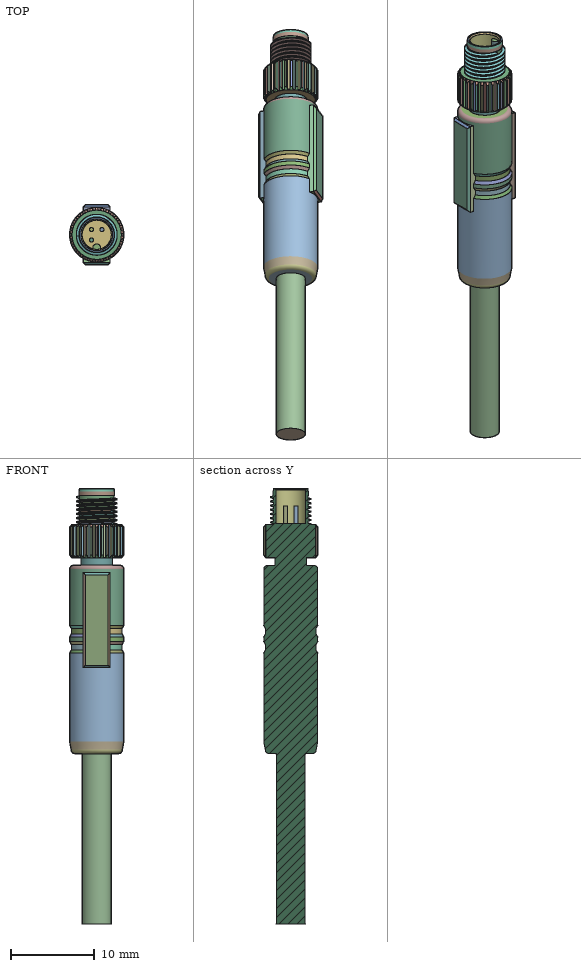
import cadquery as cq
import math

total_length = 52.2
body_bottom = 20.4
body_top = 43.0
nut_bottom = 43.9
nut_top = 47.9
thread_top = 51.35

cable_diameter = 3.5
body_diameter = 6.5
neck_diameter = 3.8
nut_diameter = body_diameter
sleeve_diameter = 4.3
thread_root_diameter = 4.2
thread_diameter = 4.9

body_top_round = 0.45
tail_taper_start = 21.85
tail_inset = 0.185
tail_round = 0.45

groove_centers = (35.105, 33.175)
groove_mouth = 1.4
groove_floor = 0.65
groove_depth = 0.2

plate_width = 3.25
plate_bottom = 30.75
plate_top = 42.1
plate_span = 7.2
plate_chamfer = 0.25

nut_chamfer = 0.3
flute_count = 30
flute_depth = 0.25
flute_mouth = 0.45
flute_floor = 0.25

thread_pitch = 0.5
thread_root_width = 0.35
thread_crest_width = 0.1
thread_overlap = 0.05
sleeve_lead_in = 0.35
sleeve_lead_in_inset = 0.05

bore_diameter = 3.5
bore_depth = 4.2
bore_chamfer = 0.15
pin_diameter = 0.48
pin_length = 2.1
pin_offset = 0.65
key_diameter = 0.95
key_offset = 1.55
key_recess = 0.5


def cylinder(diameter, bottom, top):
    return cq.Workplane("XY").workplane(offset=bottom).circle(diameter / 2).extrude(top - bottom)


def make_body():
    """Body of revolution with a tapered tail and rounded ends."""
    radius = body_diameter / 2
    tail_radius = radius - tail_inset
    blend = math.sqrt(0.5)
    tail_round_z = body_bottom + tail_round
    top_round_z = body_top - body_top_round
    tail_mid = (tail_radius - tail_round * (1 - blend), tail_round_z - tail_round * blend)
    top_mid = (radius - body_top_round * (1 - blend), top_round_z + body_top_round * blend)
    return (
        cq.Workplane("XZ")
        .moveTo(0, body_bottom)
        .lineTo(tail_radius - tail_round, body_bottom)
        .threePointArc(tail_mid, (tail_radius, tail_round_z))
        .lineTo(radius, tail_taper_start)
        .lineTo(radius, top_round_z)
        .threePointArc(top_mid, (radius - body_top_round, body_top))
        .lineTo(0, body_top)
        .close()
        .revolve(360, (0, 0, 0), (0, 1, 0))
    )


def make_groove(center):
    """Ring-shaped cutter with sloping walls, centred at the given height."""
    radius = body_diameter / 2
    floor_radius = radius - groove_depth
    clear_radius = radius + groove_depth
    mouth = groove_mouth / 2
    floor = groove_floor / 2
    return (
        cq.Workplane("XZ")
        .polyline([
            (clear_radius, center - mouth),
            (radius, center - mouth),
            (floor_radius, center - floor),
            (floor_radius, center + floor),
            (radius, center + mouth),
            (clear_radius, center + mouth),
        ])
        .close()
        .revolve(360, (0, 0, 0), (0, 1, 0))
    )


def make_plates():
    """One block through the body whose two outer faces form the name plates."""
    height = plate_top - plate_bottom
    return (
        cq.Workplane("XY")
        .box(plate_width, plate_span, height)
        .faces("<Y or >Y")
        .edges()
        .chamfer(plate_chamfer)
        .translate((0, 0, plate_bottom + height / 2))
    )


def make_nut():
    """Chamfered nut with flat-bottomed flutes; a ridge points along each Y direction."""
    radius = nut_diameter / 2
    flute = (
        cq.Workplane("XY")
        .workplane(offset=nut_bottom)
        .polyline([
            (radius - flute_depth, -flute_floor / 2),
            (radius, -flute_mouth / 2),
            (radius + flute_depth, -flute_mouth / 2),
            (radius + flute_depth, flute_mouth / 2),
            (radius, flute_mouth / 2),
            (radius - flute_depth, flute_floor / 2),
        ])
        .close()
        .extrude(nut_top - nut_bottom)
    )
    flutes = cq.Workplane("XY")
    for index in range(flute_count):
        flutes.add(flute.rotate((0, 0, 0), (0, 0, 1), index * 360 / flute_count))
    blank = cylinder(nut_diameter, nut_bottom, nut_top).edges().chamfer(nut_chamfer)
    return blank.cut(cq.Workplane(obj=cq.Compound.makeCompound(flutes.vals())))


def make_thread():
    """Right-hand helical ridge running from inside the nut up the sleeve."""
    root_radius = thread_root_diameter / 2 - thread_overlap
    crest_radius = thread_diameter / 2
    start = nut_top - thread_pitch
    end = thread_top - thread_root_width / 2
    helix = cq.Wire.makeHelix(thread_pitch, end - start, root_radius)
    ridge = (
        cq.Workplane("XZ")
        .polyline([
            (root_radius, -thread_root_width / 2),
            (crest_radius, -thread_crest_width / 2),
            (crest_radius, thread_crest_width / 2),
            (root_radius, thread_root_width / 2),
        ])
        .close()
        .sweep(cq.Workplane(obj=helix), isFrenet=True)
    )
    return ridge.translate((0, 0, start))


def make_sleeve():
    """Plain nose with a slight lead-in above a slimmer core that carries the thread."""
    nose = (
        cylinder(sleeve_diameter, thread_top, total_length)
        .faces(">Z")
        .edges()
        .chamfer(sleeve_lead_in, sleeve_lead_in_inset)
    )
    return nose.union(cylinder(thread_root_diameter, nut_top, thread_top))


def make_bore():
    bore_bottom = total_length - bore_depth
    mouth = (
        cq.Workplane("XY")
        .workplane(offset=total_length - bore_chamfer)
        .circle(bore_diameter / 2)
        .workplane(offset=bore_chamfer)
        .circle(bore_diameter / 2 + bore_chamfer)
        .loft()
    )
    return cylinder(bore_diameter, bore_bottom, total_length).union(mouth)


def make_contacts():
    """Three pins on the socket floor, leaving one corner of the square empty."""
    bore_bottom = total_length - bore_depth
    return (
        cq.Workplane("XY")
        .workplane(offset=bore_bottom)
        .pushPoints([(-pin_offset, pin_offset), (pin_offset, pin_offset), (-pin_offset, -pin_offset)])
        .circle(pin_diameter / 2)
        .extrude(pin_length)
    )


def make_key():
    """Keying rib along the -Y side of the socket wall."""
    bore_bottom = total_length - bore_depth
    rib = cylinder(key_diameter, bore_bottom, total_length - key_recess).translate((0, -key_offset, 0))
    return rib.intersect(cylinder(sleeve_diameter, bore_bottom, total_length))


body = make_body()
for groove_center in groove_centers:
    body = body.cut(make_groove(groove_center))
body = body.union(make_plates())

cable = cylinder(cable_diameter, 0, body_bottom)
neck = cylinder(neck_diameter, body_top, nut_bottom)
socket = make_sleeve().union(make_thread()).union(make_nut()).cut(make_bore())
socket = socket.union(make_contacts()).union(make_key())

result = cable.union(body).union(neck).union(socket)